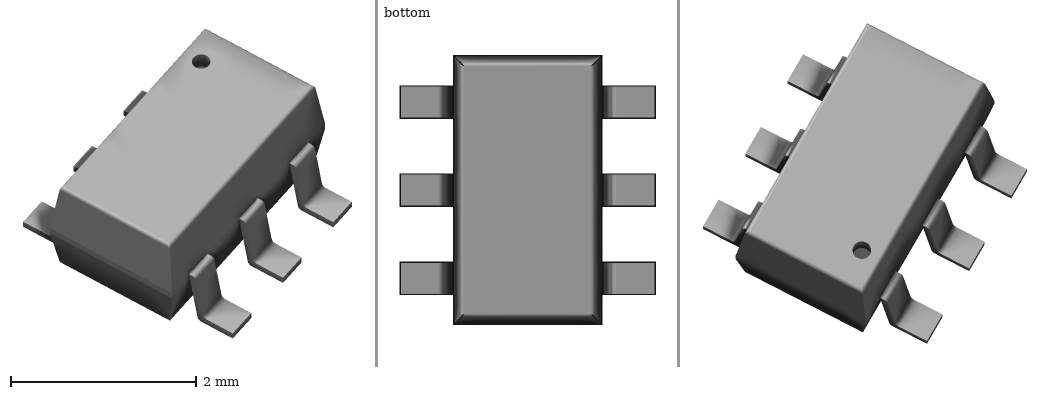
import cadquery as cq
import math

body_width = 1.6
body_length = 2.9
package_height = 1.35
lead_span = 2.75

lead_count_per_side = 3
lead_pitch = 0.95
lead_width = 0.35
lead_thickness = 0.085
lead_top = 0.69
shank_angle = 10.0
shoulder_gap = 0.013
bend_radius = 0.05

standoff = 0.075
face_inset = 0.08
edge_radius = 0.04
waist_top = lead_top
waist_height = lead_thickness
waist_bottom = waist_top - waist_height

mark_diameter = 0.2
mark_depth = 0.2
mark_x = -0.48
mark_y = lead_pitch


def waist_band():
    """Straight band around the body at the level where the leads come out."""
    return (
        cq.Workplane("XY")
        .workplane(offset=waist_bottom)
        .rect(body_width, body_length)
        .extrude(waist_height)
    )


def tapered_half(height):
    """Drafted half of the body, standing on the waist outline at Z = 0."""
    draft_angle = math.degrees(math.atan(face_inset / height))
    return cq.Workplane("XY").rect(body_width, body_length).extrude(height, taper=draft_angle)


def make_body():
    """Molded body with rounded top and bottom rims and a round pin 1 recess."""
    upper_half = tapered_half(package_height - waist_top).translate((0, 0, waist_top))
    lower_half = tapered_half(waist_bottom - standoff).mirror("XY").translate((0, 0, waist_bottom))
    body = waist_band().union(upper_half).union(lower_half)
    body = body.faces(">Z or <Z").edges().fillet(edge_radius)
    pin_1_mark = (
        cq.Workplane("XY")
        .workplane(offset=package_height - mark_depth)
        .center(mark_x, mark_y)
        .circle(mark_diameter / 2)
        .extrude(mark_depth)
    )
    return body.cut(pin_1_mark)


def make_lead(y_center):
    """Gull-wing lead on the +X side, butting against the waist of the body."""
    slope = math.tan(math.radians(shank_angle))
    shank_thickness = lead_thickness / math.cos(math.radians(shank_angle))
    body_side = body_width / 2
    toe = lead_span / 2
    inner_shoulder = body_side + shoulder_gap
    heel = inner_shoulder + waist_bottom * slope
    outer_shoulder = inner_shoulder - lead_thickness * slope + shank_thickness
    instep = outer_shoulder + (lead_top - lead_thickness) * slope

    lead = (
        cq.Workplane("XZ", origin=(0, y_center, 0))
        .moveTo(body_side, lead_top)
        .lineTo(outer_shoulder, lead_top)
        .lineTo(instep, lead_thickness)
        .lineTo(toe, lead_thickness)
        .lineTo(toe, 0)
        .lineTo(heel, 0)
        .lineTo(inner_shoulder, waist_bottom)
        .lineTo(body_side, waist_bottom)
        .close()
        .extrude(lead_width / 2, both=True)
    )
    rounded_bends = [
        (outer_shoulder, lead_top),
        (instep, lead_thickness),
        (heel, 0),
    ]
    for x, z in rounded_bends:
        bend_edge = cq.NearestToPointSelector((x, y_center, z))
        lead = lead.edges("|Y").edges(bend_edge).fillet(bend_radius)
    return lead


body = make_body()

leads = []
for index in range(lead_count_per_side):
    y_center = (index - (lead_count_per_side - 1) / 2) * lead_pitch
    right_lead = make_lead(y_center)
    leads.append(right_lead.solids().val())
    leads.append(right_lead.mirror("YZ").solids().val())

result = cq.Compound.makeCompound([body.solids().val(), *leads])